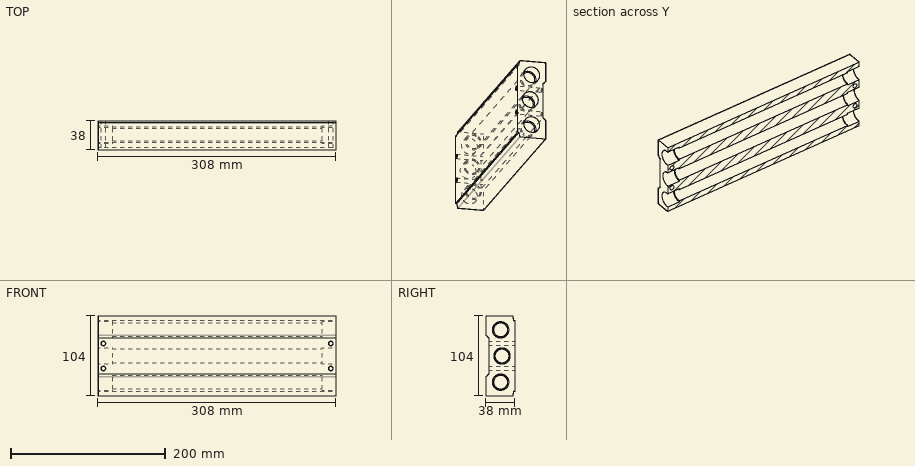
import cadquery as cq

LENGTH = 308.0
THICKNESS = 38.0
HEIGHT = 104.0

CHANNEL_DEPTH = 3.7
CHANNEL_FLOOR_WIDTH = 46.2
CHANNEL_MOUTH_WIDTH = CHANNEL_FLOOR_WIDTH + 2 * CHANNEL_DEPTH

RELIEF_HEIGHT = 6.2
RELIEF_STEP = 2.0
RELIEF_DEPTH = 3.0

EDGE_RADIUS = 0.5

BORE_DIAMETER = 18.0
COUNTERBORE_DIAMETER = 21.3
COUNTERBORE_DEPTH = 18.5
BORE_PITCH = 34.0
MIDDLE_BORE_OFFSET = 2.0
BORE_CENTERS = [
    (0, BORE_PITCH),
    (MIDDLE_BORE_OFFSET, 0),
    (0, -BORE_PITCH),
]

MOUNT_DIAMETER = 5.5
MOUNT_INSET = 6.8
MOUNT_SPACING_Z = 32.3

FRONT = -THICKNESS / 2
REAR = THICKNESS / 2
TOP = HEIGHT / 2


def make_body():
    """Extrude the symmetric Y-Z profile along the length and round its long edges."""
    channel_mouth = (FRONT, CHANNEL_MOUTH_WIDTH / 2)
    front_corner = (FRONT, TOP)
    rear_corner = (REAR - RELIEF_DEPTH, TOP)
    upper_half = [
        (FRONT + CHANNEL_DEPTH, CHANNEL_FLOOR_WIDTH / 2),
        channel_mouth,
        front_corner,
        rear_corner,
        (REAR - RELIEF_STEP, TOP - RELIEF_HEIGHT),
        (REAR, TOP - RELIEF_HEIGHT),
    ]
    lower_half = [(y, -z) for y, z in reversed(upper_half)]
    profile = cq.Workplane("YZ").polyline(upper_half + lower_half).close()
    body = profile.extrude(LENGTH / 2, both=True)
    for y, z in [channel_mouth, front_corner, rear_corner]:
        for edge_z in (z, -z):
            edge = cq.selectors.NearestToPointSelector((0, y, edge_z))
            body = body.edges("|X").edges(edge).fillet(EDGE_RADIUS)
    return body


def make_bores():
    """Cutters for the full-length bores with a counterbore at each end."""
    start = cq.Workplane("YZ").pushPoints(BORE_CENTERS)
    cutters = start.circle(BORE_DIAMETER / 2).extrude(LENGTH / 2, both=True)
    counterbore_start = LENGTH / 2 - COUNTERBORE_DEPTH
    for offset in (-LENGTH / 2, counterbore_start):
        end_plane = cq.Workplane("YZ").workplane(offset=offset).pushPoints(BORE_CENTERS)
        cutters = cutters.union(end_plane.circle(COUNTERBORE_DIAMETER / 2).extrude(COUNTERBORE_DEPTH))
    return cutters


def make_mount_holes():
    """Cutters for the four corner holes running through the thickness."""
    spacing_x = LENGTH - 2 * MOUNT_INSET
    holes = cq.Workplane("XZ").rarray(spacing_x, MOUNT_SPACING_Z, 2, 2).circle(MOUNT_DIAMETER / 2)
    return holes.extrude(THICKNESS, both=True)


result = make_body().cut(make_bores()).cut(make_mount_holes())